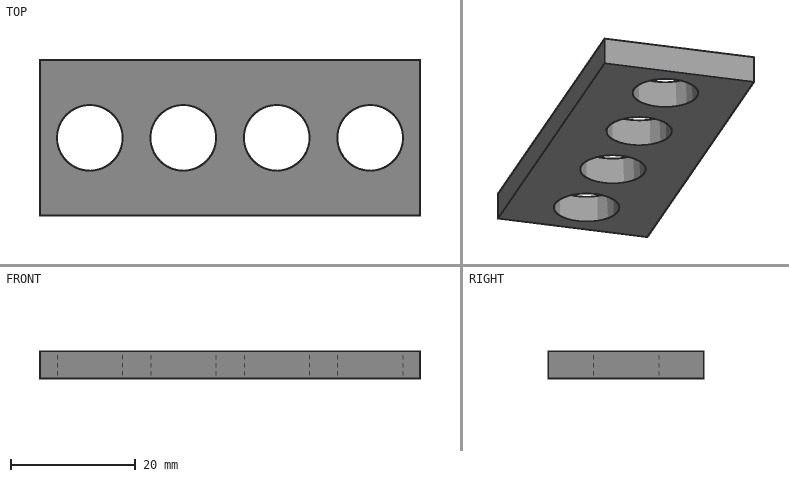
import cadquery as cq

length = 61.0
width = 25.0
thickness = 4.4

hole_diameter = 10.5
hole_count = 4
hole_pitch = 15.0


def make_plate():
    """Plain rectangular plate centred on the origin."""
    return cq.Workplane("XY").box(length, width, thickness)


def drill_hole_row(plate):
    """Drill the evenly spaced holes through the plate, centred along X."""
    return (
        plate.faces(">Z")
        .workplane()
        .rarray(hole_pitch, width, hole_count, 1)
        .hole(hole_diameter)
    )


result = drill_hole_row(make_plate())